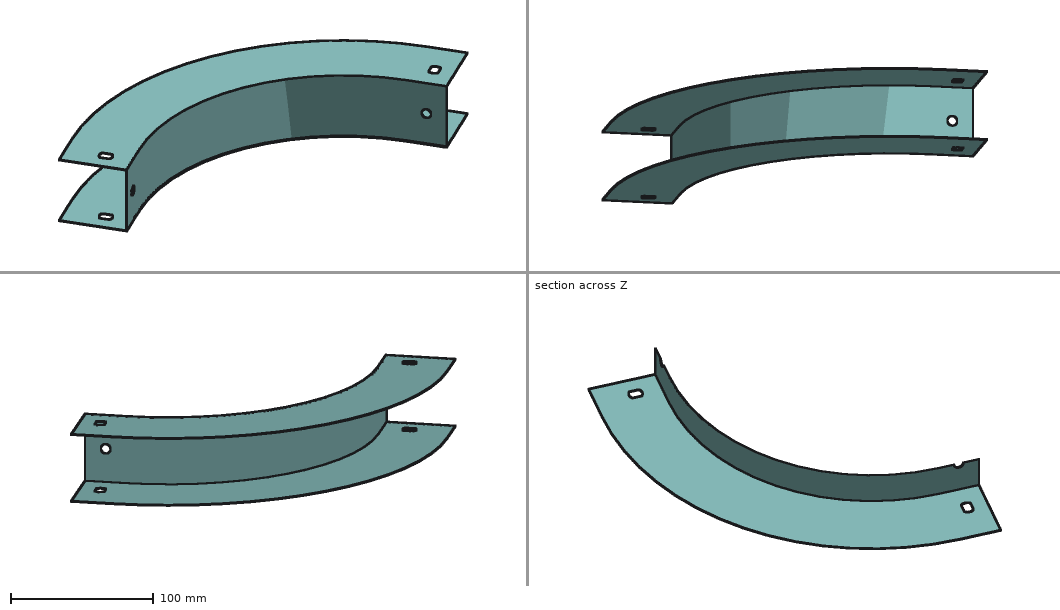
import cadquery as cq
import math

overall = 230.0
width = 50.0
height = 50.0
sheet = 0.7
straight = 30.0
web_hole_diameter = 7.0
slot_length = 10.0
slot_width = 7.0
slot_inset = 20.0

outer_radius = overall - straight
inner_radius = outer_radius - width
bend_center = overall / 2 - straight
end_face = overall / 2
hole_inset = straight / 2
end_hole_place = end_face - hole_inset
slot_place = bend_center - inner_radius - slot_inset


def bent_strip(small_radius, large_radius, z_bottom, thickness):
    """Flat quarter-bend strip with a straight run at both ends."""
    diagonal = math.sqrt(0.5)
    c = bend_center
    return (
        cq.Workplane("XY", origin=(0, 0, z_bottom))
        .moveTo(end_face, -c + large_radius)
        .lineTo(c, -c + large_radius)
        .threePointArc(
            (c - large_radius * diagonal, -c + large_radius * diagonal),
            (c - large_radius, -c),
        )
        .lineTo(c - large_radius, -end_face)
        .lineTo(c - small_radius, -end_face)
        .lineTo(c - small_radius, -c)
        .threePointArc(
            (c - small_radius * diagonal, -c + small_radius * diagonal),
            (c, -c + small_radius),
        )
        .lineTo(end_face, -c + small_radius)
        .close()
        .extrude(thickness)
    )


def flange_slot(x, y, size_x, size_y):
    """Round cutter with two parallel flats, passing through both flanges."""
    flats = cq.Workplane("XY").box(size_x, size_y, 2 * height)
    round_ends = cq.Workplane("XY").circle(slot_length / 2).extrude(height, both=True)
    return round_ends.intersect(flats).translate((x, y, 0))


def web_hole(plane, place):
    """Round cutter through the web at one straight end."""
    return (
        cq.Workplane(plane)
        .center(place, 0)
        .circle(web_hole_diameter / 2)
        .extrude(overall, both=True)
    )


lower_flange = bent_strip(inner_radius, outer_radius, -height / 2, sheet)
upper_flange = bent_strip(inner_radius, outer_radius, height / 2 - sheet, sheet)
web = bent_strip(inner_radius, inner_radius + sheet, -height / 2, height)
channel = lower_flange.union(web).union(upper_flange)

channel = channel.cut(flange_slot(slot_place, -end_hole_place, slot_length, slot_width))
channel = channel.cut(flange_slot(end_hole_place, -slot_place, slot_width, slot_length))

channel = channel.cut(web_hole("XZ", end_hole_place))
channel = channel.cut(web_hole("YZ", -end_hole_place))

result = channel